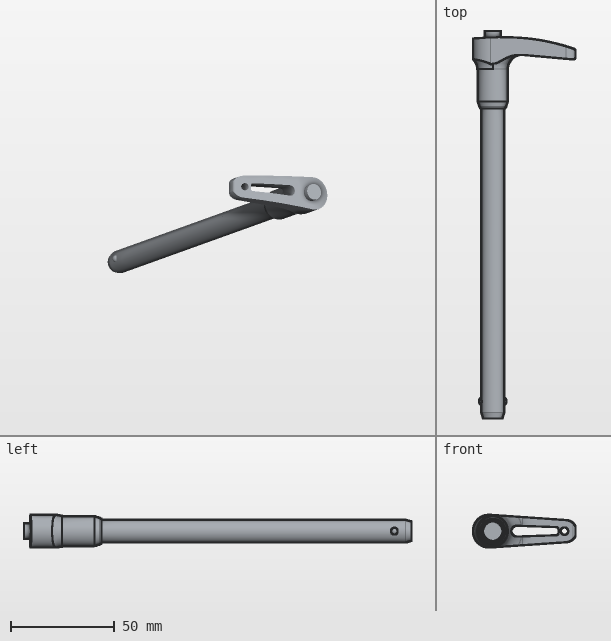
import cadquery as cq
import math


overall_length = 186.69
handle_length = 49.46

pin_radius = 11.11 / 2
grip_length = 149.225
pin_tip_radius = 4.7
pin_tip_length = 2.9

ball_radius = 1.7
ball_reach = 6.7
ball_from_tip = 8.3

sleeve_radius = 7.27
sleeve_end_radius = 6.5
shoulder_radius = 5.9
shoulder_step = 1.1
sleeve_taper_start = 3.4
flare_start = 19.0

flare_radius = 6.8
arm_flare_offset = 0.25
arm_flare_rim = sleeve_radius + arm_flare_offset + flare_radius

button_radius = 3.88
button_top = overall_length - grip_length

hub_radius = 15.875 / 2
handle_back = -9.57
handle_end = handle_back + handle_length
hub_x = handle_back + hub_radius
tip_x = 35.0
tip_radius = 5.4
tip_edge_fillet = 1.2

crest_x = 6.5
crest_y = 34.4
front_crest_radius = 98.0
back_crest_radius = 213.0
underside_start_y = flare_start + flare_radius
underside_end_y = 23.5

slot_start_x = 9.0
slot_end_x = 31.6
slot_start_radius = 2.55
slot_end_half_width = 1.85
slot_corner_radius = 1.0
hole_x = 34.5
hole_radius = 1.75


def crest_height(x, radius):
    """Height of a crest arc that is level at the crest point."""
    return crest_y - radius + math.sqrt(radius**2 - (x - crest_x) ** 2)


def side_normal(start_x, start_radius, end_x, end_radius):
    """Unit normal of the +Z line that touches two circles centred on the X axis."""
    normal_x = (start_radius - end_radius) / (end_x - start_x)
    return normal_x, math.sqrt(1 - normal_x**2)


def revolve_about_pin(profile, angle=360):
    return profile.close().revolve(angle, (0, 0, 0), (0, 1, 0))


def plan_extrude(outline):
    """Extrude an XZ outline through the full height of the handle."""
    return outline.extrude(-button_top)


def make_pin():
    pin_end = -grip_length
    body = revolve_about_pin(
        cq.Workplane("XY")
        .moveTo(0, pin_end)
        .lineTo(pin_tip_radius, pin_end)
        .lineTo(pin_radius, pin_end + pin_tip_length)
        .lineTo(pin_radius, 0)
        .lineTo(shoulder_radius, 0)
        .lineTo(sleeve_end_radius, shoulder_step)
        .lineTo(sleeve_radius, sleeve_taper_start)
        .lineTo(sleeve_radius, underside_start_y)
        .lineTo(button_radius, underside_start_y)
        .lineTo(button_radius, button_top)
        .lineTo(0, button_top)
    )
    for side in (-1, 1):
        ball_x = side * (ball_reach - ball_radius)
        ball = cq.Workplane("XY").sphere(ball_radius)
        body = body.union(ball.translate((ball_x, pin_end + ball_from_tip, 0)))
    return body


def make_plan_prism():
    """Tapered handle outline: round hub, tangent sides and a truncated round tip."""
    normal_x, normal_z = side_normal(hub_x, hub_radius, tip_x, tip_radius)
    hub_tangent = (hub_x + hub_radius * normal_x, hub_radius * normal_z)
    tip_tangent = (tip_x + tip_radius * normal_x, tip_radius * normal_z)
    end_half_width = math.sqrt(tip_radius**2 - (handle_end - tip_x) ** 2)
    tangent_angle = math.atan2(normal_z, normal_x)
    end_angle = math.atan2(end_half_width, handle_end - tip_x)
    middle_angle = (tangent_angle + end_angle) / 2
    tip_middle = (tip_x + tip_radius * math.cos(middle_angle), tip_radius * math.sin(middle_angle))
    return plan_extrude(
        cq.Workplane("XZ")
        .moveTo(hub_tangent[0], -hub_tangent[1])
        .threePointArc((handle_back, 0), hub_tangent)
        .lineTo(*tip_tangent)
        .threePointArc(tip_middle, (handle_end, end_half_width))
        .lineTo(handle_end, -end_half_width)
        .threePointArc((tip_middle[0], -tip_middle[1]), (tip_tangent[0], -tip_tangent[1]))
        .close()
    )


def make_side_profile():
    """Handle seen from the side: arched top and sloping underside."""
    back_middle_x = (handle_back + crest_x) / 2
    front_middle_x = (handle_end + crest_x) / 2
    profile = (
        cq.Workplane("XY")
        .moveTo(handle_back, underside_start_y)
        .lineTo(handle_back, crest_height(handle_back, back_crest_radius))
        .threePointArc(
            (back_middle_x, crest_height(back_middle_x, back_crest_radius)),
            (crest_x, crest_y),
        )
        .threePointArc(
            (front_middle_x, crest_height(front_middle_x, front_crest_radius)),
            (handle_end, crest_height(handle_end, front_crest_radius)),
        )
        .lineTo(handle_end, underside_end_y)
        .lineTo(arm_flare_rim, underside_start_y)
        .close()
    )
    return profile.extrude(hub_radius, both=True)


def make_flare(offset, angle):
    """Quarter-round concave neck, swept about the pin axis from the +X side."""
    neck = sleeve_radius + offset
    rim = neck + flare_radius
    diagonal = flare_radius * math.sqrt(0.5)
    return revolve_about_pin(
        cq.Workplane("XY")
        .moveTo(0, flare_start)
        .lineTo(neck, flare_start)
        .threePointArc(
            (rim - diagonal, flare_start + diagonal),
            (rim, underside_start_y),
        )
        .lineTo(0, underside_start_y),
        angle,
    )


def make_handle():
    arm_side_flare = make_flare(arm_flare_offset, 180).rotate((0, 0, 0), (0, 1, 0), 90)
    solid = make_side_profile().union(make_flare(0, 360)).union(arm_side_flare)
    solid = solid.intersect(make_plan_prism())
    return solid.faces(">X").edges("|Z").fillet(tip_edge_fillet)


def make_slot():
    """Narrowing slot with a round start and a square end with rounded corners."""
    start_x = slot_start_x + slot_start_radius
    slot = plan_extrude(
        cq.Workplane("XZ")
        .moveTo(start_x, -slot_start_radius)
        .threePointArc((slot_start_x, 0), (start_x, slot_start_radius))
        .lineTo(slot_end_x, slot_end_half_width)
        .lineTo(slot_end_x, -slot_end_half_width)
        .close()
    )
    return slot.faces(">X").edges("|Y").fillet(slot_corner_radius)


def make_hole():
    return plan_extrude(cq.Workplane("XZ").center(hole_x, 0).circle(hole_radius))


handle = make_handle().cut(make_slot()).cut(make_hole())
result = make_pin().union(handle)